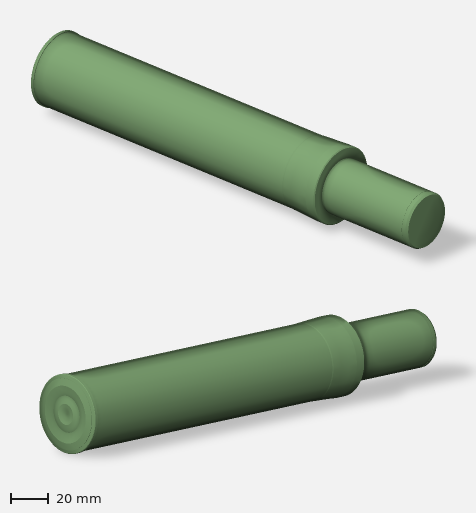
import cadquery as cq

total_length = 259.0
rim_end = 3.4
tube_end = 176.5
taper_start = 177.2
collar_land_start = 193.5
collar_end = 199.5
neck_end = 200.7
groove_start = 255.0
groove_end = 256.0
bore_bottom = 103.5

tube_diameter = 42.0
rim_diameter = 43.0
taper_start_diameter = 42.2
collar_diameter = 44.0
rod_diameter = 31.5
end_face_diameter = 38.8
crest_diameter = 31.0
valley_diameter = 20.0
inner_crest_diameter = 11.5

ring_slope = 0.2
rim_setback = 0.3
rim_bevel = 0.3
neck_depth = 0.13
collar_chamfer = 0.5
rod_chamfer_length = 1.3
rod_chamfer_depth = 0.8

tube_radius = tube_diameter / 2
rim_radius = rim_diameter / 2
collar_radius = collar_diameter / 2
rod_radius = rod_diameter / 2
neck_radius = rod_radius - neck_depth
end_face_radius = end_face_diameter / 2
crest_radius = crest_diameter / 2
valley_radius = valley_diameter / 2
inner_crest_radius = inner_crest_diameter / 2
rim_face_radius = rim_radius - rim_bevel

end_face_edge_depth = ring_slope * (end_face_radius - crest_radius)
rim_step_depth = end_face_edge_depth + rim_setback
rim_face_depth = rim_step_depth + ring_slope * (rim_face_radius - end_face_radius)
valley_depth = ring_slope * (crest_radius - valley_radius)
inner_crest_depth = valley_depth - ring_slope * (valley_radius - inner_crest_radius)
centre_depth = inner_crest_depth + ring_slope * inner_crest_radius


def revolve_about_x(outline):
    """Revolve a closed outline of (axial position, radius) points around the X axis."""
    return cq.Workplane("XY").polyline(outline).close().revolve(360, (0, 0, 0), (1, 0, 0))


def make_housing():
    """Tube with a ringed end face, a rim, a tapered collar and a blind bore for the rod."""
    end_face = [
        (centre_depth, 0),
        (inner_crest_depth, inner_crest_radius),
        (valley_depth, valley_radius),
        (0, crest_radius),
        (end_face_edge_depth, end_face_radius),
    ]
    rim = [
        (rim_step_depth, end_face_radius),
        (rim_face_depth, rim_face_radius),
        (rim_face_depth + rim_bevel, rim_radius),
        (rim_end, rim_radius),
        (rim_end, tube_radius),
    ]
    collar = [
        (tube_end, tube_radius),
        (taper_start, taper_start_diameter / 2),
        (collar_land_start, collar_radius),
        (collar_end - collar_chamfer, collar_radius),
        (collar_end, collar_radius - collar_chamfer),
    ]
    bore = [
        (collar_end, rod_radius),
        (bore_bottom, rod_radius),
        (bore_bottom, 0),
    ]
    return revolve_about_x(end_face + rim + collar + bore)


def make_rod():
    """Rod filling the bore, with a narrow neck at the collar and a groove near its chamfered tip."""
    root = [
        (bore_bottom, 0),
        (bore_bottom, rod_radius),
    ]
    neck = [
        (collar_end, rod_radius),
        (collar_end, neck_radius),
        (neck_end, neck_radius),
        (neck_end, rod_radius),
    ]
    groove = [
        (groove_start, rod_radius),
        (groove_start, neck_radius),
        (groove_end, neck_radius),
        (groove_end, rod_radius),
    ]
    tip = [
        (total_length - rod_chamfer_length, rod_radius),
        (total_length, rod_radius - rod_chamfer_depth),
        (total_length, 0),
    ]
    return revolve_about_x(root + neck + groove + tip)


housing = make_housing()
rod = make_rod()

result = cq.Compound.makeCompound([housing.val(), rod.val()])